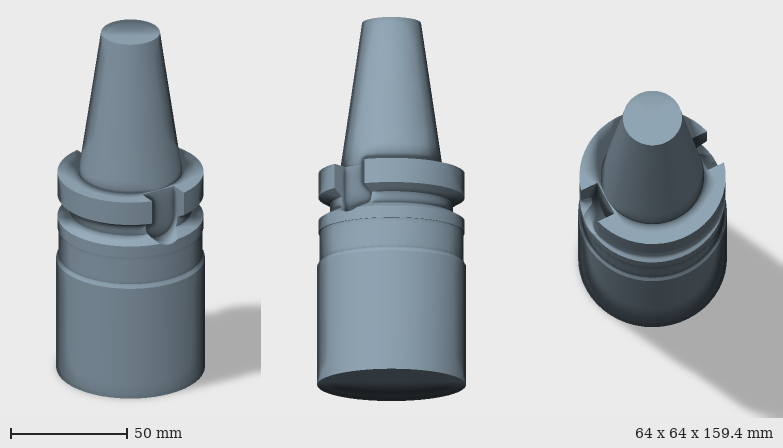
import cadquery as cq
import math

total_length = 159.4
taper_length = 65.4
taper_large_diameter = 44.5
taper_ratio = 7 / 24
taper_small_diameter = taper_large_diameter - taper_ratio * taper_length
gauge_z = total_length - taper_length

body_diameter = 64.0
body_top_z = 52.3
neck_diameter = 62.0
neck_bottom_z = 54.0

flange_diameter = 63.0
flange_bottom_z = 67.0
flange_top_z = 93.1
groove_diameter = 53.0
groove_floor_bottom_z = 75.0
groove_floor_top_z = 79.5
groove_flank_angle = 30.0
groove_depth = (flange_diameter - groove_diameter) / 2
groove_flank_height = groove_depth * math.tan(math.radians(groove_flank_angle))

keyway_width = 16.1
keyway_floor_x = 22.5
keyway_bottom_z = 71.0


def make_turned_body():
    """Revolve the half profile about the Z axis."""
    taper_small_radius = taper_small_diameter / 2
    taper_large_radius = taper_large_diameter / 2
    body_radius = body_diameter / 2
    neck_radius = neck_diameter / 2
    flange_radius = flange_diameter / 2
    groove_radius = groove_diameter / 2
    profile = [
        (0, 0),
        (body_radius, 0),
        (body_radius, body_top_z),
        (neck_radius, neck_bottom_z),
        (neck_radius, flange_bottom_z),
        (flange_radius, flange_bottom_z),
        (flange_radius, groove_floor_bottom_z - groove_flank_height),
        (groove_radius, groove_floor_bottom_z),
        (groove_radius, groove_floor_top_z),
        (flange_radius, groove_floor_top_z + groove_flank_height),
        (flange_radius, flange_top_z),
        (taper_large_radius, flange_top_z),
        (taper_large_radius, gauge_z),
        (taper_small_radius, total_length),
        (0, total_length),
    ]
    return cq.Workplane("XZ").polyline(profile).close().revolve(360, (0, 0), (0, 1))


def make_keyway_cutter(side):
    """Round-bottomed slot, open upward and outward; side is -1 or +1 along X."""
    half_width = keyway_width / 2
    arc_center_z = keyway_bottom_z + half_width
    return (
        cq.Workplane("YZ", origin=(side * keyway_floor_x, 0, 0))
        .moveTo(-half_width, total_length)
        .lineTo(-half_width, arc_center_z)
        .threePointArc((0, keyway_bottom_z), (half_width, arc_center_z))
        .lineTo(half_width, total_length)
        .close()
        .extrude(side * body_diameter / 2)
    )


result = make_turned_body()
for side in (-1, 1):
    result = result.cut(make_keyway_cutter(side))